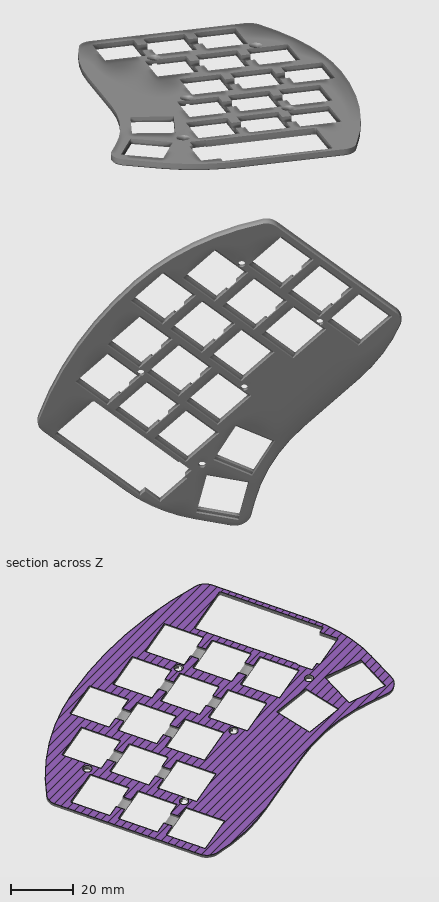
import cadquery as cq
import math

LENGTH = 112.0
DEPTH = 91.3
THICKNESS = 2.2

CROWN_X = 48.2
REAR_LEFT_RADIUS = 85.1
REAR_RIGHT_RADIUS = 141.2
FRONT_Y = 12.3
FRONT_START_X = 28.3
FRONT_END_X = 54.3
FRONT_RADIUS = 65.9
SIDE_RADIUS = 48.2
SIDE_END_Y = 37.1
THUMB_ANGLE = 30.0
CORNER_RADIUS = 5.0
THUMB_CORNER_RADIUS = 5.6
BOTTOM_CHAMFER = 0.3

KEY_SIZE = 13.9
LIP_THICKNESS = 1.3
CLIP_RECESS = 1.0
COLUMN_PITCH = 18.0
ROW_PITCH = 17.0
FIRST_COLUMN_X = 10.2
MIDDLE_ROW_Y = [45.7, 57.7, 63.7, 57.4, 54.8]
THUMB_KEYS = [(74.2, 20.2, 15.0), (92.8, 12.4, 30.0)]

NOTCH_WIDTH = 4.7
NOTCH_FLOOR = 0.6

HOLE_DIAMETER = 2.4
SINK_DIAMETER = 4.4
SINK_ANGLE = 90.0
HOLE_CENTRES = [(19.0, 71.6), (73.3, 65.8), (19.5, 37.3), (55.3, 37.3), (87.5, 26.2)]

WINDOW_LEFT = 91.9
WINDOW_RIGHT = 110.2
WINDOW_REAR = 69.3
WINDOW_STEP_Y = 32.5
WINDOW_FRONT_LEFT = 91.5
WINDOW_FRONT_RIGHT = 107.8
WINDOW_LEDGE_X = 94.8
WINDOW_LEDGE_Y = 27.1
WINDOW_FRONT = 26.0
WINDOW_CORNER_RADIUS = 0.6


def circle_point(centre, radius, x, side):
    """Point of a circle at the given x, on its upper (side 1) or lower (side -1) half."""
    return (x, centre[1] + side * math.sqrt(radius**2 - (x - centre[0]) ** 2))


def make_blank():
    """Plate outline of tangent arcs and lines, with rounded corners and a chamfered bottom edge."""
    turn = math.radians(THUMB_ANGLE)
    rear_left = (CROWN_X, DEPTH - REAR_LEFT_RADIUS)
    rear_right = (CROWN_X, DEPTH - REAR_RIGHT_RADIUS)
    front_left = (FRONT_START_X, FRONT_Y + FRONT_RADIUS)
    front_right = (FRONT_END_X, FRONT_Y - FRONT_RADIUS)
    side = (LENGTH - SIDE_RADIUS, SIDE_END_Y)

    thumb_front = (
        front_right[0] + FRONT_RADIUS * math.sin(turn),
        front_right[1] + FRONT_RADIUS * math.cos(turn),
    )
    thumb_side = (
        side[0] + SIDE_RADIUS * math.cos(turn),
        side[1] - SIDE_RADIUS * math.sin(turn),
    )
    gap_x = thumb_side[0] - thumb_front[0]
    gap_y = thumb_side[1] - thumb_front[1]
    run = gap_x * math.cos(turn) - gap_y * math.sin(turn)
    thumb_corner = (thumb_front[0] + run * math.cos(turn), thumb_front[1] - run * math.sin(turn))

    blank = (
        cq.Workplane("XY")
        .moveTo(*circle_point(front_left, FRONT_RADIUS, 0, -1))
        .threePointArc(
            circle_point(front_left, FRONT_RADIUS, FRONT_START_X / 2, -1), (FRONT_START_X, FRONT_Y)
        )
        .lineTo(FRONT_END_X, FRONT_Y)
        .threePointArc(
            circle_point(front_right, FRONT_RADIUS, (FRONT_END_X + thumb_front[0]) / 2, 1), thumb_front
        )
        .lineTo(*thumb_corner)
        .lineTo(*thumb_side)
        .threePointArc(
            (side[0] + SIDE_RADIUS * math.cos(turn / 2), side[1] - SIDE_RADIUS * math.sin(turn / 2)),
            (LENGTH, SIDE_END_Y),
        )
        .lineTo(*circle_point(rear_right, REAR_RIGHT_RADIUS, LENGTH, 1))
        .threePointArc(
            circle_point(rear_right, REAR_RIGHT_RADIUS, (CROWN_X + LENGTH) / 2, 1), (CROWN_X, DEPTH)
        )
        .threePointArc(
            circle_point(rear_left, REAR_LEFT_RADIUS, CROWN_X / 2, 1),
            circle_point(rear_left, REAR_LEFT_RADIUS, 0, 1),
        )
        .close()
        .extrude(THICKNESS)
    )
    at_thumb = cq.selectors.NearestToPointSelector((*thumb_corner, THICKNESS / 2))
    blank = blank.edges(at_thumb).fillet(THUMB_CORNER_RADIUS)
    blank = blank.faces("<X").edges("|Z").fillet(CORNER_RADIUS)
    blank = blank.faces(">X").edges("|Z and >Y").fillet(CORNER_RADIUS)
    return blank.faces("<Z").edges().chamfer(BOTTOM_CHAMFER)


def key_opening(x, y, turn=0.0):
    """Square opening, wider below the lip, turned clockwise about its centre."""
    opening = cq.Workplane("XY").rect(KEY_SIZE, KEY_SIZE).extrude(THICKNESS)
    recess = cq.Workplane("XY").rect(KEY_SIZE + 2 * CLIP_RECESS, KEY_SIZE).extrude(THICKNESS - LIP_THICKNESS)
    opening = opening.union(recess)
    return opening.rotate((0, 0, 0), (0, 0, 1), -turn).translate((x, y, 0))


def column_cut(x, middle_y):
    """Three key openings and the notch that runs through the bars between them."""
    cut = (
        cq.Workplane("XY", origin=(x, middle_y, NOTCH_FLOOR))
        .rect(NOTCH_WIDTH, 2 * ROW_PITCH)
        .extrude(THICKNESS - NOTCH_FLOOR)
    )
    for row in (-1, 0, 1):
        cut = cut.union(key_opening(x, middle_y + row * ROW_PITCH))
    return cut


def controller_window():
    """Stepped window with rounded rear and front left corners."""
    return (
        cq.Workplane("XY")
        .moveTo(WINDOW_LEFT, WINDOW_REAR)
        .lineTo(WINDOW_RIGHT, WINDOW_REAR)
        .lineTo(WINDOW_RIGHT, WINDOW_STEP_Y)
        .lineTo(WINDOW_FRONT_RIGHT, WINDOW_STEP_Y)
        .lineTo(WINDOW_FRONT_RIGHT, WINDOW_FRONT)
        .lineTo(WINDOW_LEDGE_X, WINDOW_FRONT)
        .lineTo(WINDOW_LEDGE_X, WINDOW_LEDGE_Y)
        .lineTo(WINDOW_FRONT_LEFT, WINDOW_LEDGE_Y)
        .lineTo(WINDOW_FRONT_LEFT, WINDOW_STEP_Y)
        .lineTo(WINDOW_LEFT, WINDOW_STEP_Y)
        .close()
        .extrude(THICKNESS)
        .edges("|Z and >Y or (|Z and <X and <Y)")
        .fillet(WINDOW_CORNER_RADIUS)
    )


result = make_blank()
for column, middle_y in enumerate(MIDDLE_ROW_Y):
    result = result.cut(column_cut(FIRST_COLUMN_X + column * COLUMN_PITCH, middle_y))
for x, y, turn in THUMB_KEYS:
    result = result.cut(key_opening(x, y, turn))
result = result.cut(controller_window())
result = (
    result.faces(">Z")
    .workplane(origin=(0, 0, THICKNESS))
    .pushPoints(HOLE_CENTRES)
    .cskHole(HOLE_DIAMETER, SINK_DIAMETER, SINK_ANGLE)
)